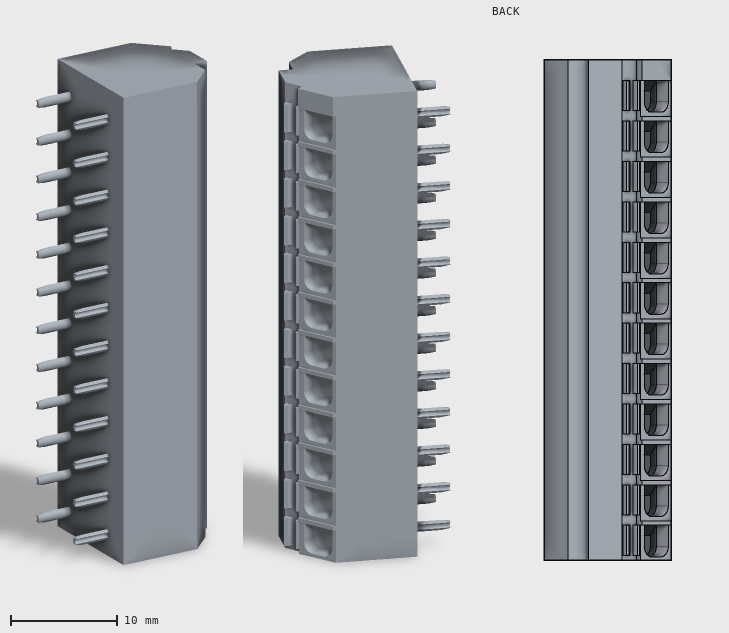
import cadquery as cq
import math


length = 47.2
width = 12.0
depth = 11.75
shoulder = 8.1
entry_face_end = 2.8
notch_depth = 0.5
ridge_end = 7.8
ledge_height = 10.4

poles = 12
first_pin_z = 44.1
last_pin_z = 2.15
pitch = (first_pin_z - last_pin_z) / (poles - 1)
first_recess_top = 45.25

recess_height = 3.4
recess_drop = 0.3

entry_low_x = 0.3
entry_high_x = 2.55
entry_height = 2.97
entry_radius = 1.0
lead_in_step = 1.15
bore_x = 0.55
bore_y = 2.25
bore_height = 2.0

lever_height = 2.85
wedge_rise = 0.35
wedge_top = 11.05
wedge_top_start = 3.0
wedge_top_end = 3.2
tab_top = 12.0
tab_top_start = 4.0
tab_top_end = 4.25
tab_lip = (3.9, 11.65)
tab_foot = (4.1, 11.15)
tab_root = (4.5, 11.1)
tab_back = (4.6, 11.65)

pin_length = 3.6
pin_centers = (1.95, 9.3)
pin_radius = 0.55
pin_bore_radius = 0.26
pin_half_angle = math.radians(66)
pin_bore_half_angle = math.radians(80)
pin_anchor = 0.45
pin_tip_length = 0.85
pin_tip_half_height = 0.35

entry_face_top = shoulder + entry_face_end
notch_x = entry_face_end + notch_depth
notch_y = entry_face_top - notch_depth
ridge_start = notch_x + depth - notch_y
ledge_end = width - (ledge_height - shoulder)
recess_level = shoulder - recess_drop
notch_wall_sum = notch_x + notch_y
recess_end = (notch_wall_sum - recess_level) / 2


def prism(points, bottom, height):
    """Solid of an XY outline from Z = bottom upwards."""
    return cq.Workplane("XY").workplane(offset=bottom).polyline(points).close().extrude(height)


def housing():
    return prism(
        [
            (0, 0),
            (width, 0),
            (width, shoulder),
            (ledge_end, ledge_height),
            (ridge_end, ledge_height),
            (ridge_end, depth),
            (ridge_start, depth),
            (notch_x, notch_y),
            (entry_face_end, entry_face_top),
            (0, shoulder),
        ],
        0,
        length,
    )


def recess(top):
    """Strip removed from the entry face; its floor is parallel to that face."""
    outer_level = shoulder + recess_drop
    outer_end = (notch_wall_sum - outer_level) / 2
    start = -recess_drop
    points = [
        (start, start + recess_level),
        (recess_end, recess_end + recess_level),
        (outer_end, outer_end + outer_level),
        (start, start + outer_level),
    ]
    return prism(points, top - recess_height, recess_height)


def entry_section(x, y, bottom, height):
    """Wire-entry section in a plane parallel to the entry face, upper edge at (x, y)."""
    across = (entry_high_x - entry_low_x) * math.sqrt(2)
    plane = cq.Plane(origin=(x, y, bottom), xDir=(0, 0, 1), normal=(1, -1, 0))
    corner = entry_radius * (1 - math.sqrt(0.5))
    return (
        cq.Workplane(plane)
        .moveTo(height, 0)
        .lineTo(entry_radius, 0)
        .threePointArc((corner, corner), (0, entry_radius))
        .lineTo(0, across - entry_radius)
        .threePointArc((corner, across - corner), (entry_radius, across))
        .lineTo(height, across)
        .close()
        .wires()
        .val()
    )


def wire_entry(top):
    """Lead-in square to the entry face, followed by a steeper, narrowing bore."""
    bottom = top - entry_height
    mouth_x = entry_high_x
    mouth_y = entry_high_x + recess_level
    throat_x = mouth_x + lead_in_step
    throat_y = mouth_y - lead_in_step
    mouth = entry_section(mouth_x, mouth_y, bottom, entry_height)
    throat = entry_section(throat_x, throat_y, bottom, entry_height)
    end = entry_section(throat_x + bore_x, throat_y - bore_y, bottom, bore_height)
    lead_in = cq.Solid.makeLoft([mouth, throat], True)
    bore = cq.Solid.makeLoft([throat, end], True)
    return cq.Workplane(lead_in).union(cq.Workplane(bore))


def lever(top):
    """Wedge filling the notch and the hooked tab on the slope behind it."""
    bottom = top - lever_height
    wedge = prism(
        [
            (notch_x, notch_y),
            (notch_x + wedge_rise, notch_y + wedge_rise),
            (wedge_top_end, wedge_top),
            (wedge_top_start, wedge_top),
            (recess_end, recess_end + recess_level),
        ],
        bottom,
        lever_height,
    )
    tab = prism(
        [
            tab_foot,
            tab_root,
            tab_back,
            (tab_top_end, tab_top),
            (tab_top_start, tab_top),
            tab_lip,
        ],
        bottom,
        lever_height,
    )
    return wedge.union(tab)


def pin(center_x, side, z):
    """Ring-sector strip bulging towards side (+1 is +X), narrowed towards its tip."""
    def ring_point(radius, angle):
        return (center_x + side * radius * math.cos(angle), radius * math.sin(angle))

    half_height = pin_radius * math.sin(pin_half_angle)
    strip = (
        cq.Workplane(cq.Plane(origin=(0, pin_anchor, z), xDir=(1, 0, 0), normal=(0, -1, 0)))
        .moveTo(*ring_point(pin_radius, -pin_half_angle))
        .threePointArc(ring_point(pin_radius, 0), ring_point(pin_radius, pin_half_angle))
        .lineTo(*ring_point(pin_bore_radius, pin_bore_half_angle))
        .threePointArc(
            ring_point(pin_bore_radius, 0), ring_point(pin_bore_radius, -pin_bore_half_angle)
        )
        .close()
        .extrude(pin_length + pin_anchor)
    )
    taper_start = pin_tip_length - pin_length
    blade = (
        cq.Workplane("YZ", origin=(center_x, 0, z))
        .polyline(
            [
                (pin_anchor, -half_height),
                (pin_anchor, half_height),
                (taper_start, half_height),
                (-pin_length, pin_tip_half_height),
                (-pin_length, -pin_tip_half_height),
                (taper_start, -half_height),
            ]
        )
        .close()
        .extrude(pin_radius, both=True)
    )
    return strip.intersect(blade)


result = housing()
for pole in range(poles):
    recess_top = first_recess_top - pole * pitch
    pin_z = first_pin_z - pole * pitch
    result = result.cut(recess(recess_top)).cut(wire_entry(recess_top)).union(lever(recess_top))
    for center, bulge in zip(pin_centers, (1, -1)):
        result = result.union(pin(center, bulge, pin_z))